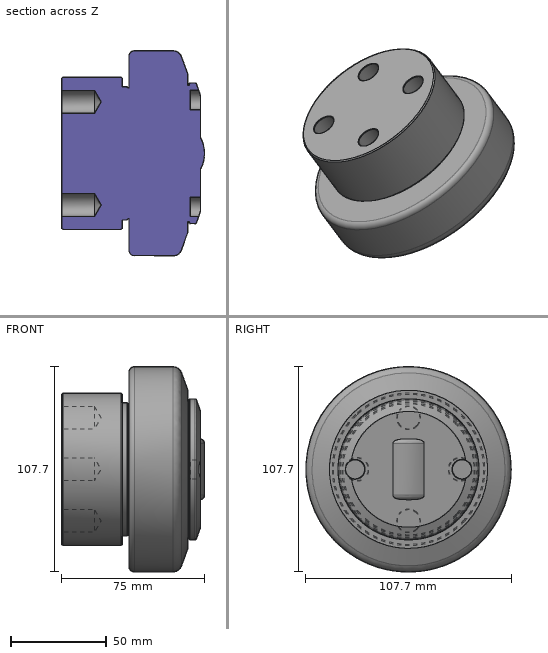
import cadquery as cq
import math


stud_diameter = 80.0
stud_length = 31.9
edge_chamfer = 0.6
neck_diameter = 70.0
neck_end = 34.9

roller_diameter = 107.7
roller_start = 35.2
roller_end = 66.2
roller_back_fillet = 3.0
roller_front_fillet = 5.0
roller_face_diameter = 82.9

cover_neck_diameter = 71.6
cover_diameter = 74.0
cover_start = 66.9
cover_end = 72.9
cover_chamfer = 0.4
cover_fillet = 1.1
cover_face_diameter = 60.7
cone_angle = 20.0
rim_margin = 0.1

overall_length = 75.0
side_roller_radius = 17.6
side_roller_length = 32.1
side_roller_fillet = 2.6

mount_hole_circle_radius = 27.0
mount_hole_diameter = 11.8
mount_hole_mouth_diameter = 12.4
mount_hole_depth = 17.2
mount_hole_count = 4
drill_tip_angle = 120.0

cover_hole_offset = 28.0
cover_hole_diameter = 10.0
cover_hole_mouth_diameter = 10.5
cover_hole_depth = 5.4


def disc(start, end, diameter):
    """Cylinder on the X axis between two positions."""
    return cq.Workplane("YZ").workplane(offset=start).circle(diameter / 2).extrude(end - start)


def coned_disc(start, end, diameter, face_diameter, fillet):
    """Disc whose +X end narrows along a cone, with the rim of the cone rounded."""
    radius = diameter / 2
    face_radius = face_diameter / 2
    cone_length = (radius - face_radius) * math.tan(math.radians(cone_angle))
    outline = [
        (start, 0),
        (start, radius),
        (end - cone_length, radius),
        (end, face_radius),
        (end, 0),
    ]
    body = cq.Workplane("XY").polyline(outline).close().revolve(360, (0, 0, 0), (1, 0, 0))
    rim = cq.selectors.BoxSelector(
        (end - cone_length - rim_margin, -radius, -radius),
        (end - cone_length + rim_margin, radius, radius),
    )
    return body.edges(rim).fillet(fillet)


def drilled_hole(diameter, mouth_diameter, depth, tip_depth):
    """Hole cutter along +X from the origin, with a 45 degree mouth chamfer."""
    radius = diameter / 2
    mouth_radius = mouth_diameter / 2
    outline = [
        (0, 0),
        (0, mouth_radius),
        (mouth_radius - radius, radius),
        (depth, radius),
        (depth + tip_depth, 0),
    ]
    return cq.Workplane("XY").polyline(outline).close().revolve(360, (0, 0, 0), (1, 0, 0))


stud = disc(0, stud_length, stud_diameter).edges().chamfer(edge_chamfer)
neck = disc(0, neck_end, neck_diameter).faces(">X").edges().chamfer(edge_chamfer)
core = disc(0, cover_start, neck_diameter - 2 * edge_chamfer)

main_roller = coned_disc(
    roller_start, roller_end, roller_diameter, roller_face_diameter, roller_front_fillet
)
main_roller = main_roller.faces("<X").edges().fillet(roller_back_fillet)

cover_neck = disc(roller_end, cover_start, cover_neck_diameter)
cover = coned_disc(cover_start, cover_end, cover_diameter, cover_face_diameter, cover_fillet)
cover = cover.faces("<X").edges().chamfer(cover_chamfer)

side_roller = (
    cq.Workplane("XY")
    .center(overall_length - side_roller_radius, 0)
    .circle(side_roller_radius)
    .extrude(side_roller_length / 2, both=True)
    .edges("%CIRCLE")
    .fillet(side_roller_fillet)
)

result = core
for body in (stud, neck, main_roller, cover_neck, cover, side_roller):
    result = result.union(body)

tip_depth = mount_hole_diameter / 2 / math.tan(math.radians(drill_tip_angle / 2))
mount_hole = drilled_hole(
    mount_hole_diameter, mount_hole_mouth_diameter, mount_hole_depth, tip_depth
).translate((0, mount_hole_circle_radius, 0))
for index in range(mount_hole_count):
    angle = index * 360 / mount_hole_count
    result = result.cut(mount_hole.rotate((0, 0, 0), (1, 0, 0), angle))

cover_hole = drilled_hole(cover_hole_diameter, cover_hole_mouth_diameter, cover_hole_depth, 0)
cover_hole = cover_hole.rotate((0, 0, 0), (0, 0, 1), 180)
for side in (-1, 1):
    result = result.cut(cover_hole.translate((cover_end, side * cover_hole_offset, 0)))